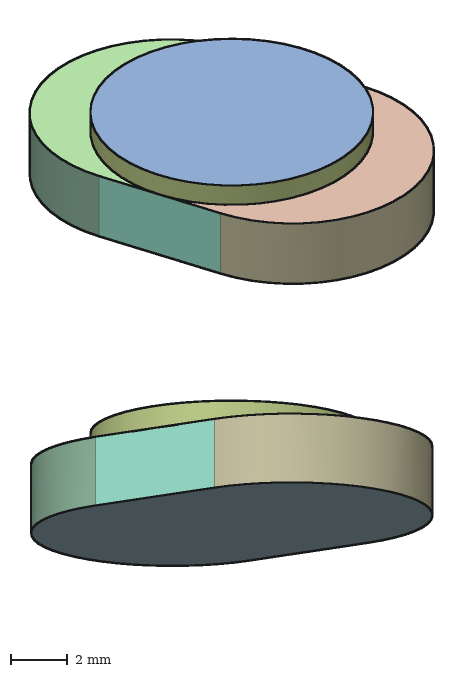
import cadquery as cq

length = 15.0
width = length * 2 / 3
total_height = 3.3
base_height = width / 4

disc_diameter = width
disc_height = total_height - base_height

base = cq.Workplane("XY").slot2D(length, width).extrude(base_height)

disc = (
    cq.Workplane("XY")
    .workplane(offset=base_height)
    .circle(disc_diameter / 2)
    .extrude(disc_height)
)

result = base.union(disc)